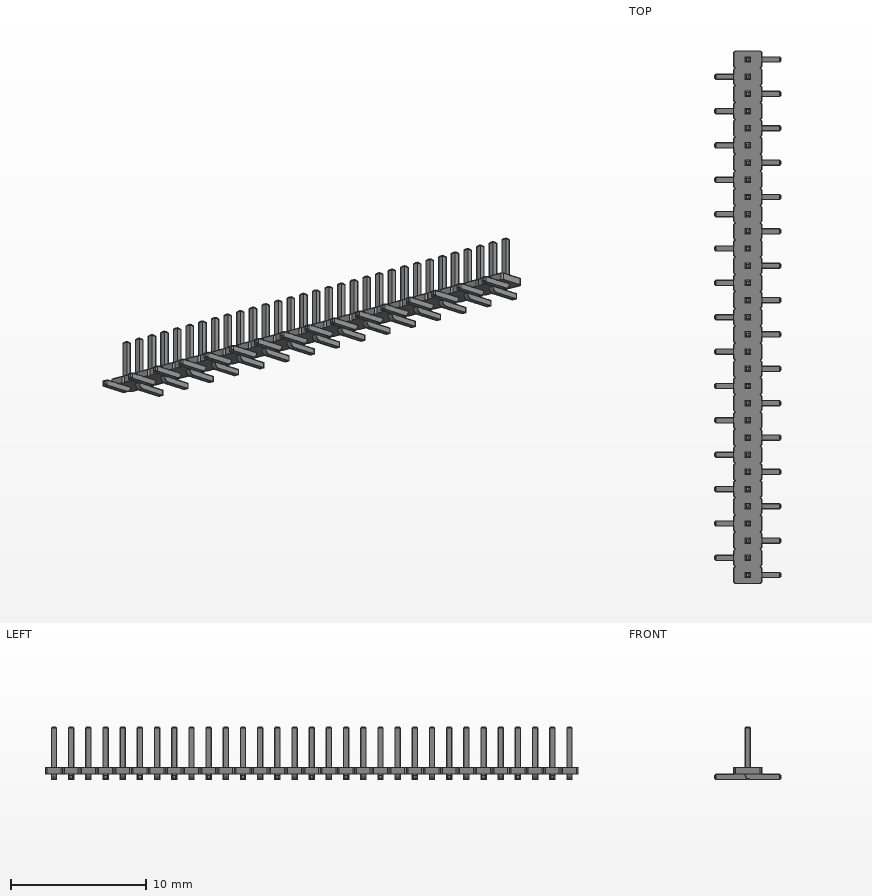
import cadquery as cq

pin_count = 31
pitch = 1.27

total_height = 3.9
leg_span = 4.9

body_width = 2.1
body_height = 0.5
notch_depth = pitch / 10

wire = 0.4
tip_taper = 0.1
bend_radius = wire

row_length = pin_count * pitch


def make_body():
    """Strip along Y, resting on the legs, with V notches between pins in both sides."""
    half_width = body_width / 2
    half_length = row_length / 2
    inset = half_width - notch_depth

    right_side = []
    for segment in range(pin_count):
        start = segment * pitch - half_length
        end = start + pitch
        right_side += [
            (inset, start),
            (half_width, start + notch_depth),
            (half_width, end - notch_depth),
        ]
    right_side.append((inset, half_length))
    left_side = [(-x, y) for x, y in reversed(right_side)]

    return (
        cq.Workplane("XY")
        .workplane(offset=wire)
        .polyline(right_side + left_side)
        .close()
        .extrude(body_height)
    )


def tapered_bar(length):
    """Square bar rising from Z = 0, with its upper end tapered on all four sides."""
    return cq.Workplane("XY").rect(wire, wire).extrude(length).faces(">Z").chamfer(tip_taper)


def make_pin():
    """L-shaped pin: upright post on the Z axis and a leg along +X at Z = 0."""
    post = tapered_bar(total_height)
    leg = (
        tapered_bar(leg_span / 2 + wire / 2)
        .rotate((0, 0, 0), (0, 1, 0), 90)
        .translate((-wire / 2, 0, wire / 2))
    )
    return post.union(leg).edges("|Y and <X and <Z").fillet(bend_radius)


def make_header():
    right_pin = make_pin()
    left_pin = right_pin.rotate((0, 0, 0), (0, 0, 1), 180)
    first_y = (pitch - row_length) / 2

    pins = []
    for index in range(pin_count):
        pin = right_pin if index % 2 == 0 else left_pin
        pins.append(pin.translate((0, first_y + index * pitch, 0)).val())
    return cq.Workplane(make_body().val().fuse(*pins))


result = make_header()